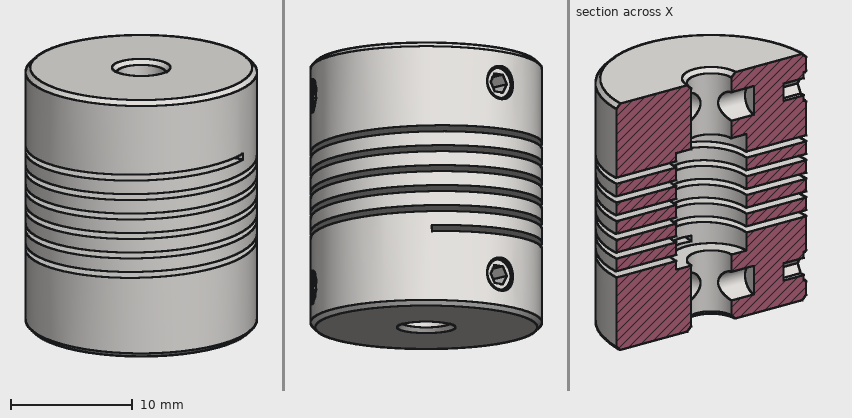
import cadquery as cq
import math

ORIGIN = (0, 0, 0)
Z_AXIS = (0, 0, 1)

LENGTH = 22.0
OUTER_RADIUS = 9.5
BORE_RADIUS = 2.0
EDGE_CHAMFER = 0.4

SLIT_WIDTH = 0.5
SLIT_FULL_TURNS = 5
SLIT_FULL_TURNS_RISE = 8.34
SLIT_PITCH = SLIT_FULL_TURNS_RISE / SLIT_FULL_TURNS
SLIT_START_ANGLE = 172.8
SLIT_END_ANGLE = 393.0
SLIT_START_HEIGHT = -4.6
SLIT_TURNS = SLIT_FULL_TURNS + (SLIT_END_ANGLE - SLIT_START_ANGLE) / 360
SLIT_HEIGHT = SLIT_TURNS * SLIT_PITCH
SLIT_SEGMENTS = math.ceil(SLIT_TURNS)
RELIEF_RADIUS = 3.5
RELIEF_LENGTH = 10.35
SLIT_MARGIN = 0.45

SCREW_ANGLES = (90, 210)
SCREW_END_DISTANCE = 3.0
SCREW_RADIUS = 1.25
MOUTH_CHAMFER = 0.13
SCREW_RECESS = 0.26
SCREW_LENGTH = 5.0
SOCKET_ACROSS_FLATS = 1.5
SOCKET_DEPTH = 2.0


def make_body():
    """Chamfered cylinder with a chamfered bore and the central relief."""
    body = cq.Workplane("XY").circle(OUTER_RADIUS).circle(BORE_RADIUS).extrude(LENGTH / 2, both=True)
    body = body.faces("<Z or >Z").edges().chamfer(EDGE_CHAMFER)
    relief = cq.Workplane("XY").circle(RELIEF_RADIUS).extrude(RELIEF_LENGTH / 2, both=True)
    return body.cut(relief)


def make_slit_segment():
    """First stretch of the slit: a rectangle swept along a right-handed helix."""
    inner = RELIEF_RADIUS - SLIT_MARGIN
    outer = OUTER_RADIUS + SLIT_MARGIN
    middle = (inner + outer) / 2
    helix = cq.Wire.makeHelix(SLIT_PITCH, SLIT_HEIGHT / SLIT_SEGMENTS, middle)
    segment = (
        cq.Workplane("XZ")
        .center(middle, 0)
        .rect(outer - inner, SLIT_WIDTH)
        .sweep(cq.Workplane(helix), isFrenet=True)
    )
    return segment.rotate(ORIGIN, Z_AXIS, SLIT_START_ANGLE).translate((0, 0, SLIT_START_HEIGHT))


def cut_slit(body):
    """Cut the slit as end-to-end segments, each shorter than one turn."""
    segment = make_slit_segment()
    turn_step = 360 * SLIT_TURNS / SLIT_SEGMENTS
    rise_step = SLIT_HEIGHT / SLIT_SEGMENTS
    for index in range(SLIT_SEGMENTS):
        turned = segment.rotate(ORIGIN, Z_AXIS, index * turn_step)
        body = body.cut(turned.translate((0, 0, index * rise_step)))
    return body


def radial_plane(angle, height, radius):
    """Plane facing outward at the given angle about Z, with its x axis horizontal."""
    direction = math.radians(angle)
    outward = (math.cos(direction), math.sin(direction), 0)
    sideways = (-math.sin(direction), math.cos(direction), 0)
    origin = (radius * outward[0], radius * outward[1], height)
    return cq.Plane(origin=origin, xDir=sideways, normal=outward)


def add_set_screw(body, angle, height):
    """Drill a radial hole with a chamfered mouth and fill it with a hex socket set screw."""
    hole = cq.Workplane(radial_plane(angle, height, 0)).circle(SCREW_RADIUS).extrude(OUTER_RADIUS)
    body = body.cut(hole)
    mouth_centre = radial_plane(angle, height, OUTER_RADIUS).origin.toTuple()
    body = body.edges(cq.NearestToPointSelector(mouth_centre)).chamfer(MOUTH_CHAMFER)
    head_plane = radial_plane(angle, height, OUTER_RADIUS - SCREW_RECESS)
    screw = cq.Workplane(head_plane).circle(SCREW_RADIUS).extrude(-SCREW_LENGTH)
    socket_across_corners = SOCKET_ACROSS_FLATS / math.cos(math.pi / 6)
    socket = cq.Workplane(head_plane).polygon(6, socket_across_corners).extrude(-SOCKET_DEPTH)
    return body.union(screw.cut(socket))


result = cut_slit(make_body())
screw_height = LENGTH / 2 - SCREW_END_DISTANCE
for side in (-1, 1):
    for screw_angle in SCREW_ANGLES:
        result = add_set_screw(result, screw_angle, side * screw_height)